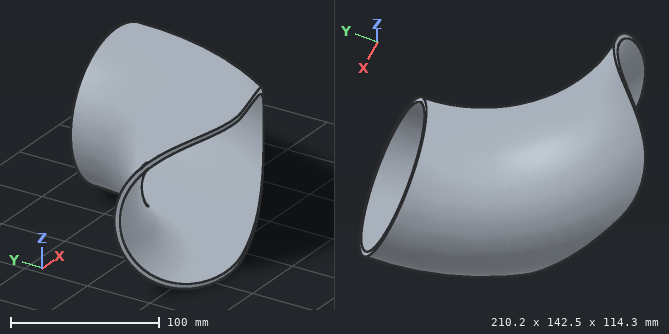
import cadquery as cq
import math

outer_diameter = 114.3
wall = 3.5
outer_sweep_radius = 210.2
cut_depth = 142.5
small_arc_radius = 76.0
arc_join_x = 92.0

outer_radius = outer_diameter / 2
inner_radius = outer_radius - wall
bend_radius = outer_sweep_radius - outer_radius
throat_radius = bend_radius - outer_radius


def make_bend():
    """Hollow pipe swept a quarter turn, from the +X axis to the -Y axis."""
    ring = cq.Workplane("XZ").center(bend_radius, 0).circle(outer_radius).circle(inner_radius)
    axis_start = (-bend_radius, 0)
    axis_end = (-bend_radius, -1)
    return ring.revolve(90, axis_start, axis_end)


def make_keep_block():
    """Prism along Z whose lower outline is the trimmed edge of the pipe."""
    edge_start = (0, -throat_radius)
    edge_end_x = math.sqrt(outer_sweep_radius**2 - throat_radius**2)
    edge_end = (edge_end_x, -throat_radius)

    center_y = small_arc_radius - cut_depth
    center_x = math.sqrt(small_arc_radius**2 - (center_y + throat_radius)**2)
    arc_bottom = (center_x, -cut_depth)
    join_y = center_y - math.sqrt(small_arc_radius**2 - (arc_join_x - center_x)**2)

    return (
        cq.Workplane("XY")
        .moveTo(*edge_start)
        .threePointArc(arc_bottom, (arc_join_x, join_y))
        .tangentArcPoint(edge_end, relative=False)
        .lineTo(outer_sweep_radius, -throat_radius)
        .lineTo(outer_sweep_radius, 0)
        .lineTo(0, 0)
        .close()
        .extrude(outer_diameter, both=True)
    )


result = make_bend().intersect(make_keep_block())